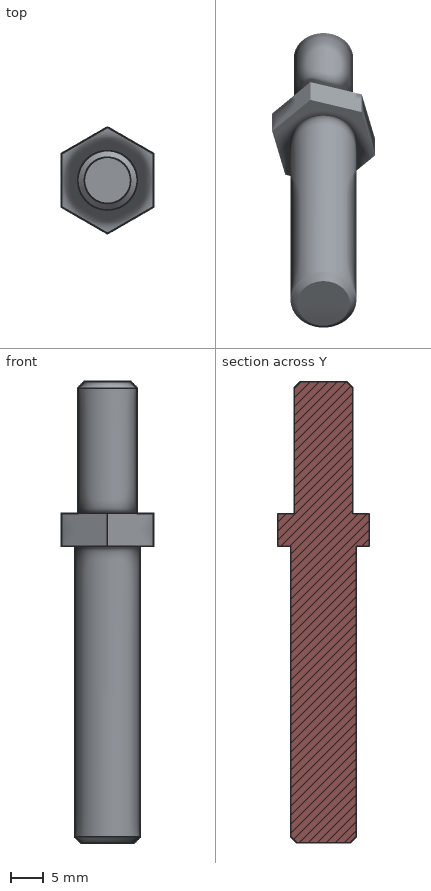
import cadquery as cq
import math

LOWER_LENGTH = 45.0
HEX_THICKNESS = 5.0
UPPER_LENGTH = 20.0

LOWER_DIAMETER = 10.0
UPPER_DIAMETER = 9.0
HEX_ACROSS_FLATS = 14.0
HEX_SIDES = 6
HEX_ACROSS_CORNERS = HEX_ACROSS_FLATS / math.cos(math.pi / HEX_SIDES)
HEX_ROTATION = 180.0 / HEX_SIDES

END_CHAMFER = 1.0

HEX_BOTTOM_Z = LOWER_LENGTH
HEX_TOP_Z = HEX_BOTTOM_Z + HEX_THICKNESS


def pin(diameter, length, base_z, chamfered_end):
    """Round pin along Z with a chamfer on the end face picked by the selector."""
    cylinder = cq.Workplane("XY").workplane(offset=base_z).circle(diameter / 2).extrude(length)
    return cylinder.faces(chamfered_end).edges().chamfer(END_CHAMFER)


def hex_collar():
    """Hexagonal wrench collar between the two pins."""
    return (
        cq.Workplane("XY")
        .workplane(offset=HEX_BOTTOM_Z)
        .transformed(rotate=(0, 0, HEX_ROTATION))
        .polygon(HEX_SIDES, HEX_ACROSS_CORNERS)
        .extrude(HEX_THICKNESS)
    )


lower_pin = pin(LOWER_DIAMETER, LOWER_LENGTH, 0, "<Z")
upper_pin = pin(UPPER_DIAMETER, UPPER_LENGTH, HEX_TOP_Z, ">Z")

result = hex_collar().union(lower_pin).union(upper_pin)